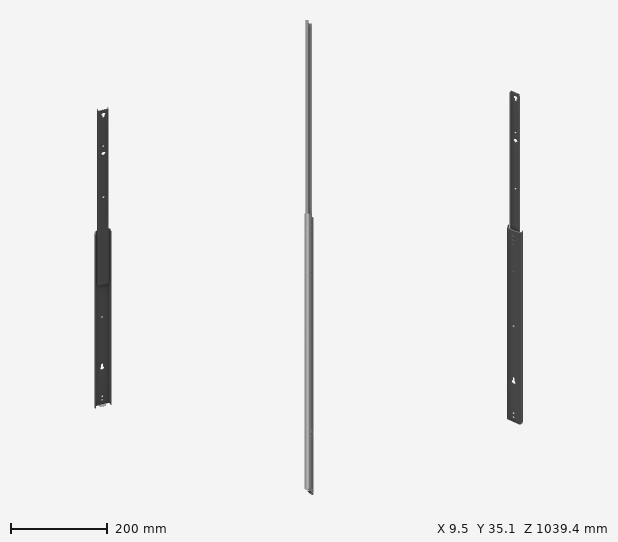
import cadquery as cq
import math

total_thickness = 9.5
total_width = 35.08
total_length = 1039.4
member_length = 610.0
sheet = 1.2

web_half_width = 12.55
corner_radius = 4.1
corner_angle = math.radians(50)
corner_end_x = corner_radius * (1 - math.cos(corner_angle))
corner_end_y = web_half_width + corner_radius * math.sin(corner_angle)
race_radius = (total_width / 2 - corner_end_y) / (1 - math.sin(corner_angle))
race_center_x = corner_end_x + race_radius * math.cos(corner_angle)
race_center_y = total_width / 2 - race_radius
tip_angle = math.acos((race_center_x - total_thickness) / race_radius)
race_end_chamfer_x = 3.5
race_end_chamfer_z = 2.5

tab_half_width = 7.0
tab_reach = 7.0
notch_depth = 1.0
foot_height = 5.0
foot_recess = 0.3

inner_width = 23.0
inner_flange_tip_x = 3.2
inner_bend_radius = 2.0
inner_base_z = total_length - member_length

hole_diameter = 4.6
keyhole_diameter = 9.0
hole_pitch = 12.5
bottom_hole_height = 15.7
top_row_height = 568.2
top_row_count = 3
outer_hole_heights = [bottom_hole_height, bottom_hole_height + hole_pitch, 305.2, 482.0]
outer_hole_heights += [top_row_height + i * hole_pitch for i in range(top_row_count)]
inner_hole_heights = [734.2, 912.6]
outer_keyhole = (126.8, 140.1)
inner_keyholes = [(1023.7, 1015.1), (887.6, 883.6)]


def bore(diameter, height):
    """Cylinder along X through the full thickness of the slide."""
    return (
        cq.Workplane("YZ")
        .center(0, height)
        .circle(diameter / 2)
        .extrude(total_thickness)
    )


def keyhole(large_height, slot_height):
    """Large hole with a narrow round-ended slot running from it to slot_height."""
    slot = (
        cq.Workplane("XY")
        .box(total_thickness, hole_diameter, abs(slot_height - large_height), centered=(False, True, False))
        .translate((0, 0, min(slot_height, large_height)))
    )
    return bore(keyhole_diameter, large_height).union(slot).union(bore(hole_diameter, slot_height))


def corner_point(offset, angle, side):
    """Point on a corner bend, set inward from the outer surface by offset."""
    radius = corner_radius - offset
    return (
        corner_radius - radius * math.cos(angle),
        side * (web_half_width + radius * math.sin(angle)),
    )


def race_point(offset, angle, side):
    """Point on a ball race, set inward from the outer surface by offset."""
    radius = race_radius - offset
    return (
        race_center_x - radius * math.cos(angle),
        side * (race_center_y + radius * math.sin(angle)),
    )


def make_outer_member():
    mid_corner = corner_angle / 2
    crest = math.pi / 2

    def surface(path, offset, side):
        """Add one sheet surface, running from the race tip on the given side to the opposite tip."""
        return (
            path.threePointArc(race_point(offset, crest, side), race_point(offset, corner_angle, side))
            .threePointArc(corner_point(offset, mid_corner, side), corner_point(offset, 0, side))
            .lineTo(*corner_point(offset, 0, -side))
            .threePointArc(
                corner_point(offset, mid_corner, -side),
                corner_point(offset, corner_angle, -side),
            )
            .threePointArc(race_point(offset, crest, -side), race_point(offset, tip_angle, -side))
        )

    profile = cq.Workplane("XY").moveTo(*race_point(0, tip_angle, -1))
    profile = surface(profile, 0, -1)
    profile = profile.lineTo(*race_point(sheet, tip_angle, 1))
    profile = surface(profile, sheet, 1)
    member = profile.close().extrude(member_length)

    tab = cq.Workplane("XY").box(tab_reach, 2 * tab_half_width, sheet, centered=(False, True, False))
    member = member.union(tab)

    end_chamfer = (
        cq.Workplane("XZ")
        .polyline(
            [
                (total_thickness - race_end_chamfer_x, 0),
                (total_thickness, 0),
                (total_thickness, race_end_chamfer_z),
            ]
        )
        .close()
        .extrude(total_width / 2, both=True)
    )
    notch = (
        cq.Workplane("XY")
        .box(sheet, 2 * tab_half_width, notch_depth, centered=(False, True, False))
        .translate((0, 0, member_length - notch_depth))
    )
    foot = cq.Workplane("XY").box(
        foot_recess, 2 * web_half_width, foot_height, centered=(False, True, False)
    )
    member = member.cut(end_chamfer).cut(notch).cut(foot)

    for height in outer_hole_heights:
        member = member.cut(bore(hole_diameter, height))
    return member.cut(keyhole(*outer_keyhole))


def make_inner_member():
    channel_depth = total_thickness - inner_flange_tip_x
    blank = (
        cq.Workplane("XY")
        .box(channel_depth, inner_width, member_length, centered=(False, True, False))
        .edges("|Z and >X")
        .fillet(inner_bend_radius)
    )
    hollow = (
        cq.Workplane("XY")
        .box(channel_depth - sheet, inner_width - 2 * sheet, member_length, centered=(False, True, False))
        .edges("|Z and >X")
        .fillet(inner_bend_radius - sheet)
    )
    member = blank.cut(hollow).translate((inner_flange_tip_x, 0, inner_base_z))

    for height in inner_hole_heights:
        member = member.cut(bore(hole_diameter, height))
    for large_height, slot_height in inner_keyholes:
        member = member.cut(keyhole(large_height, slot_height))
    return member


outer_member = make_outer_member()
inner_member = make_inner_member()

result = cq.Compound.makeCompound([outer_member.val(), inner_member.val()])